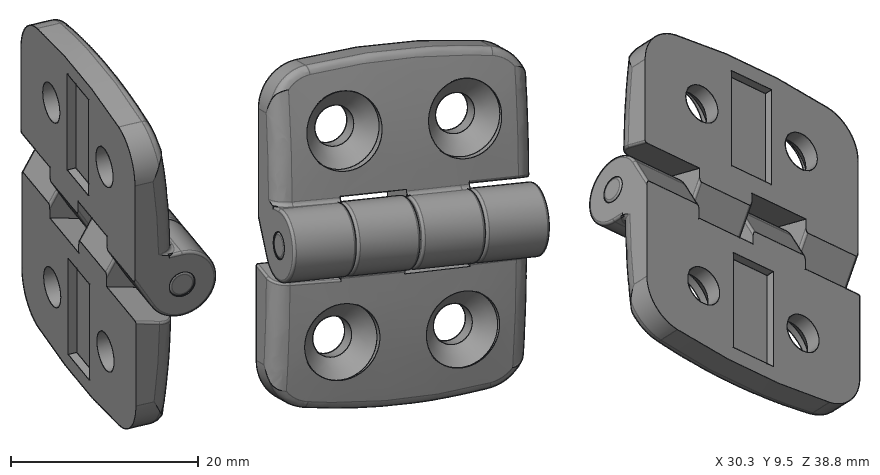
import cadquery as cq
import math


leaf_width = 30.0
leaf_shift = 0.125
leaf_reach = 19.5
end_sag = 1.5
corner_radius = 5.0

hinge_thickness = 5.15
end_thickness = 3.65
crown_start = 3.2
crown_radius = 220.0
crown_half_angle = 10.0
end_overrun = 1.0
side_round = 2.0
end_round = 1.0

pin_diameter = 3.0
pin_end_round = 0.3
pin_projection = 0.125
barrel_radius = 4.0
axis_height = 5.5
knuckle_width = 7.35
knuckle_pitch = 14.975
knuckle_round = 0.3
relief_angle = 60.0
root_fillet = 0.45
root_corner_height = 4.0

clearance_start = 3.2
clearance_angle = 15.5
clearance_round = 0.25

hole_spacing = 14.0
hole_distance = 11.55
hole_diameter = 4.5
head_diameter = 8.6
head_height = 3.95
countersink_angle = 90.0
pocket_width = 5.6
pocket_length = 12.1
pocket_depth = 1.0

left_side = leaf_shift - leaf_width / 2
right_side = leaf_shift + leaf_width / 2
knuckle_starts = [left_side, left_side + knuckle_pitch]


pick_margin = 0.1

crown_rim = cq.selectors.BoxSelector(
    (left_side - pick_margin, end_thickness - end_round, -leaf_reach - end_overrun),
    (right_side + pick_margin, hinge_thickness + pick_margin, -clearance_start - pick_margin),
)

open_wall_rim = cq.selectors.BoxSelector(
    (knuckle_starts[1] + knuckle_width + pick_margin, pick_margin, -clearance_start - hinge_thickness / 2),
    (right_side + pick_margin, hinge_thickness, -clearance_start - pick_margin),
)

root_rim = cq.selectors.BoxSelector(
    (left_side - pick_margin, -pick_margin, -barrel_radius - pick_margin),
    (right_side + pick_margin, axis_height - pick_margin, -barrel_radius + pick_margin),
)


def crown_body():
    """Sector of a body of revolution whose outer surface is the crowned face of the leaf."""
    span = leaf_reach - crown_start
    drop = hinge_thickness - end_thickness
    arc_radius = (span ** 2 + drop ** 2) / (2 * drop)

    def crown_point(distance):
        fall = arc_radius - math.sqrt(arc_radius ** 2 - distance ** 2)
        return (hinge_thickness - fall, -crown_start - distance)

    far_point = crown_point(span + end_overrun)
    centre_y = hinge_thickness - crown_radius
    sector = (
        cq.Workplane("YZ", origin=(leaf_shift, 0, 0))
        .moveTo(centre_y, 0)
        .lineTo(hinge_thickness, 0)
        .lineTo(*crown_point(0))
        .threePointArc(crown_point(span / 2), far_point)
        .lineTo(centre_y, far_point[1])
        .close()
        .revolve(2 * crown_half_angle, (centre_y, 0, 0), (centre_y, 1, 0))
    )
    axis_point = (leaf_shift, centre_y, 0)
    return sector.rotate(axis_point, (leaf_shift, centre_y, 1), -crown_half_angle)


def box_between(x_range, y_range, z_range):
    """Axis-aligned box between the given limits."""
    sizes = [high - low for low, high in (x_range, y_range, z_range)]
    box = cq.Workplane("XY").box(*sizes, centered=False)
    return box.translate((x_range[0], y_range[0], z_range[0]))


def crowned_slab():
    """Straight-sided slab under the crowned face, its long edges rounded."""
    slab = (
        cq.Workplane("XZ")
        .moveTo(left_side, -clearance_start)
        .lineTo(left_side, -leaf_reach - end_overrun / 2)
        .lineTo(right_side, -leaf_reach - end_overrun / 2)
        .lineTo(right_side, -clearance_start)
        .close()
        .extrude(-2 * hinge_thickness)
        .intersect(crown_body())
    )
    return slab.edges(crown_rim).edges("<X or >X").fillet(side_round)


def bowed_plate():
    """Plate with the bowed end and round corners, its crowned rim lightly rounded."""
    plate = (
        cq.Workplane("XZ")
        .moveTo(left_side, -clearance_start)
        .lineTo(left_side, end_sag - leaf_reach)
        .threePointArc((leaf_shift, -leaf_reach), (right_side, end_sag - leaf_reach))
        .lineTo(right_side, -clearance_start)
        .close()
        .extrude(-2 * hinge_thickness)
        .edges("|Y")
        .edges("<Z")
        .fillet(corner_radius)
        .intersect(crown_body())
    )
    return plate.edges(crown_rim).fillet(end_round)


def leaf_plate():
    """Plate whose sides carry the wide rounding and whose corners and end carry the light one."""
    return bowed_plate().intersect(crowned_slab())


def knuckle_gap(start, end):
    """Room for a knuckle of the other leaf, closed by a leaning wall."""
    lean = math.tan(math.radians(clearance_angle))
    top = 2 * hinge_thickness
    return (
        cq.Workplane("YZ", origin=(start, 0, 0))
        .lineTo(0, -clearance_start)
        .lineTo(top, -clearance_start - top * lean)
        .lineTo(top, 0)
        .close()
        .extrude(end - start)
    )


def knuckle(start):
    """Barrel with a flat underside and a slanted relief face, its side edges rounded."""
    angle = math.radians(relief_angle)
    relief_y = axis_height - barrel_radius * math.sin(angle)
    relief_z = barrel_radius * math.cos(angle)
    relief_foot = relief_z - relief_y * math.tan(angle)
    barrel = (
        cq.Workplane("YZ", origin=(start, 0, 0))
        .moveTo(0, -barrel_radius)
        .lineTo(0, relief_foot)
        .lineTo(relief_y, relief_z)
        .threePointArc((axis_height + barrel_radius, 0), (axis_height, -barrel_radius))
        .close()
        .extrude(knuckle_width)
    )
    return barrel.edges("not <Y").edges("not |X").fillet(knuckle_round)


def root_collar(plate):
    """Plate joined to a wide collar at the barrel underside by a concave fillet along the crowned rim."""
    margin = 2 * root_fillet
    collar = box_between(
        (left_side - margin, right_side + margin),
        (-margin, axis_height),
        (-barrel_radius, -clearance_start),
    )
    return plate.union(collar).edges(root_rim).fillet(root_fillet)


def knuckle_root(start, collar):
    """Concave fillet under one knuckle, taken from the root collar."""
    space = box_between(
        (start, start + knuckle_width),
        (0, axis_height),
        (-barrel_radius - root_fillet, -barrel_radius),
    )
    return collar.intersect(space)


def root_corner(start):
    """Strip that squares the underside edges of a knuckle where it enters the plate."""
    return box_between(
        (start, start + knuckle_width),
        (0, root_corner_height),
        (-barrel_radius, -barrel_radius + knuckle_round),
    )


def pin_bore():
    """Cylinder along the hinge axis through the whole leaf."""
    return (
        cq.Workplane("YZ", origin=(-leaf_width, axis_height, 0))
        .circle(pin_diameter / 2)
        .extrude(2 * leaf_width)
    )


def screw_hole(x):
    """Through hole with a countersink on the crowned side."""
    cone_height = (head_diameter - hole_diameter) / 2 / math.tan(math.radians(countersink_angle / 2))
    hole_radius = hole_diameter / 2
    head_radius = head_diameter / 2
    return (
        cq.Workplane("XY", origin=(x, 0, -hole_distance))
        .lineTo(hole_radius, 0)
        .lineTo(hole_radius, head_height - cone_height)
        .lineTo(head_radius, head_height)
        .lineTo(head_radius, 2 * hinge_thickness)
        .lineTo(0, 2 * hinge_thickness)
        .close()
        .revolve(360, (0, 0, 0), (0, 1, 0))
    )


def leaf_pocket():
    """Shallow rectangular pocket in the mounting face."""
    return (
        cq.Workplane("XZ")
        .center(leaf_shift, -hole_distance)
        .rect(pocket_width, pocket_length)
        .extrude(-pocket_depth)
    )


def leaf():
    """Complete lower leaf: plate, two knuckles, pin bore, screw holes and pocket."""
    first_end, second_end = (start + knuckle_width for start in knuckle_starts)
    plate = leaf_plate()
    collar = root_collar(plate)
    body = plate.cut(knuckle_gap(first_end, knuckle_starts[1]))
    body = body.cut(knuckle_gap(second_end, right_side))
    body = body.edges(open_wall_rim).fillet(clearance_round)
    for start in knuckle_starts:
        body = body.union(knuckle_root(start, collar)).union(knuckle(start)).union(root_corner(start))
    body = body.cut(pin_bore())
    for side in (-1, 1):
        body = body.cut(screw_hole(leaf_shift + side * hole_spacing / 2))
    return body.cut(leaf_pocket())


def hinge_pin():
    """Pin standing slightly out of the left knuckle and ending flush in the right one."""
    start = left_side - pin_projection
    length = -left_side - start
    return (
        cq.Workplane("YZ", origin=(start, axis_height, 0))
        .circle(pin_diameter / 2)
        .extrude(length)
        .edges()
        .fillet(pin_end_round)
    )


lower_leaf = leaf()
upper_leaf = lower_leaf.rotate((0, 0, 0), (0, 1, 0), 180)
pin = hinge_pin()

result = cq.Compound.makeCompound([lower_leaf.val(), upper_leaf.val(), pin.val()])